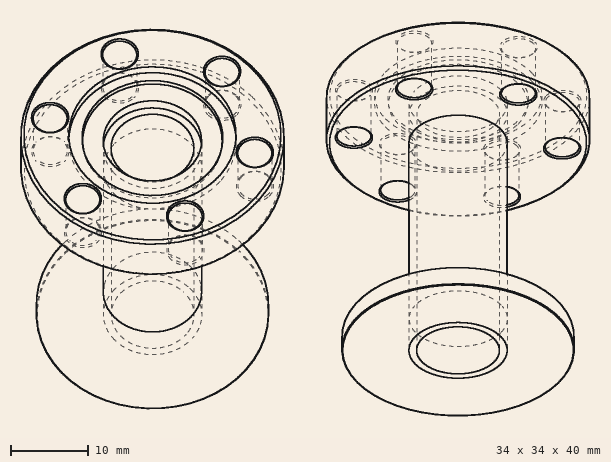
import cadquery as cq
import math

total_height = 40.0

flange_radius = 17.0
flange_thickness = 7.5
flange_chamfer = 0.4
flange_bottom = total_height - flange_thickness
recess_radius = 10.8
recess_depth = 1.3
knife_radius = 9.1
knife_land_radius = 9.0
knife_slope = math.radians(20)
land_height = total_height - recess_depth
knife_height = land_height + (recess_radius - knife_radius) * math.tan(knife_slope)

bolt_count = 6
bolt_circle_radius = 13.5
bolt_start_angle = -7.5
bolt_hole_diameter = 4.4
bolt_hole_chamfer = 0.2

tube_outer_radius = 6.35
tube_wall = 1.0
tube_inner_radius = tube_outer_radius - tube_wall
tube_setback = 1.6
tube_top = land_height - tube_setback

clamp_radius = 15.0
clamp_height = 5.0
clamp_hub_radius = 7.1
clamp_slope = math.radians(15)
clamp_rim_height = clamp_height - (clamp_radius - clamp_hub_radius) * math.tan(clamp_slope)
clamp_rim_fillet = 1.0
clamp_rim_setback = clamp_rim_fillet * math.tan((math.pi / 2 - clamp_slope) / 2)
clamp_base_chamfer = 0.1


def make_bolted_flange():
    """Flange with a gasket recess, a knife edge and chamfered bolt holes; its bore takes the tube."""
    body = (
        cq.Workplane("XZ")
        .moveTo(tube_outer_radius, flange_bottom)
        .lineTo(flange_radius - flange_chamfer, flange_bottom)
        .lineTo(flange_radius, flange_bottom + flange_chamfer)
        .lineTo(flange_radius, total_height - flange_chamfer)
        .lineTo(flange_radius - flange_chamfer, total_height)
        .lineTo(recess_radius, total_height)
        .lineTo(recess_radius, land_height)
        .lineTo(knife_radius, knife_height)
        .lineTo(knife_land_radius, land_height)
        .lineTo(tube_outer_radius, land_height)
        .close()
        .revolve(360, (0, 0, 0), (0, 1, 0))
    )
    return body.cut(make_bolt_hole_cutters())


def make_bolt_hole_cutters():
    """Ring of plain drills, widened by a small chamfer at both flange faces."""
    hole_radius = bolt_hole_diameter / 2
    mouth_radius = hole_radius + bolt_hole_chamfer
    drill = (
        cq.Workplane("XZ")
        .moveTo(0, flange_bottom)
        .lineTo(mouth_radius, flange_bottom)
        .lineTo(hole_radius, flange_bottom + bolt_hole_chamfer)
        .lineTo(hole_radius, total_height - bolt_hole_chamfer)
        .lineTo(mouth_radius, total_height)
        .lineTo(0, total_height)
        .close()
        .revolve(360, (0, 0, 0), (0, 1, 0))
        .translate((bolt_circle_radius, 0, 0))
    )
    cutters = cq.Workplane("XY")
    for index in range(bolt_count):
        angle = bolt_start_angle + index * 360 / bolt_count
        cutters = cutters.add(drill.rotate((0, 0, 0), (0, 0, 1), angle))
    return cutters.combine()


def make_tube():
    """Plain tube from the base of the clamp flange up into the bolted flange."""
    return (
        cq.Workplane("XY")
        .circle(tube_outer_radius)
        .circle(tube_inner_radius)
        .extrude(tube_top)
    )


def make_clamp_flange():
    """Flange with a conical back and a rounded rim, bored to take the tube."""
    rim_round_end = (
        clamp_radius - clamp_rim_setback * math.cos(clamp_slope),
        clamp_rim_height + clamp_rim_setback * math.sin(clamp_slope),
    )
    return (
        cq.Workplane("XZ")
        .moveTo(tube_outer_radius, 0)
        .lineTo(clamp_radius - clamp_base_chamfer, 0)
        .lineTo(clamp_radius, clamp_base_chamfer)
        .lineTo(clamp_radius, clamp_rim_height - clamp_rim_setback)
        .tangentArcPoint(rim_round_end, relative=False)
        .lineTo(clamp_hub_radius, clamp_height)
        .lineTo(tube_outer_radius, clamp_height)
        .close()
        .revolve(360, (0, 0, 0), (0, 1, 0))
    )


bolted_flange = make_bolted_flange()
tube = make_tube()
clamp_flange = make_clamp_flange()

result = cq.Compound.makeCompound([bolted_flange.val(), tube.val(), clamp_flange.val()])